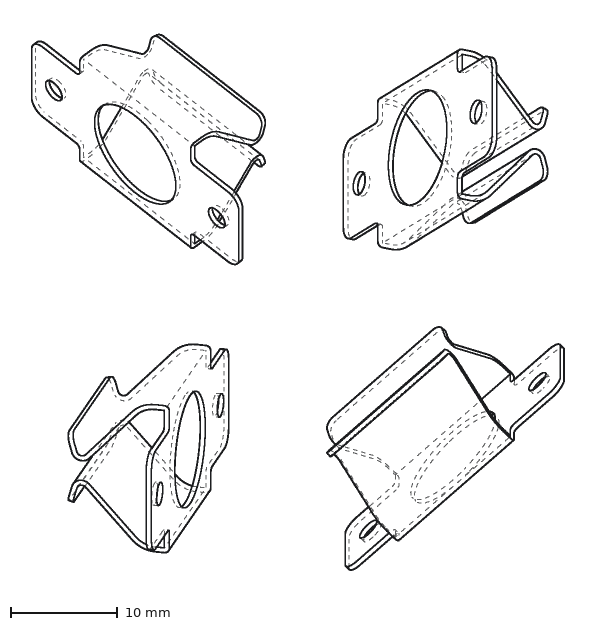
import cadquery as cq
import math

plate_length = 28.0
body_size = 15.0
wing_height = 10.0
sheet = 0.5
wing_corner_radius = 1.5
notch_radius = 0.5
window_diameter = 11.0
screw_hole_diameter = 2.2
screw_hole_spacing = 22.0

depth = 10.0
fold_radius = sheet
shoulder_y = 1.4
shoulder_radius = 3.02
throat_y = 8.5
throat_gap = 2.0
throat_radius = 1.0
lip_tilt = math.radians(16)
lip_corner_radius = 1.0

half_body = body_size / 2
shoulder_center = (shoulder_y, half_body - shoulder_radius)
throat_center = (throat_y, throat_gap / 2 + throat_radius)
throat_inner_radius = throat_radius - sheet
shoulder_inner_radius = shoulder_radius - sheet

center_run = throat_center[0] - shoulder_center[0]
center_drop = shoulder_center[1] - throat_center[1]
leaf_angle = math.atan2(center_drop, center_run) + math.asin(
    (shoulder_radius + throat_inner_radius) / math.hypot(center_run, center_drop)
)

up = math.pi / 2
shoulder_end = up - leaf_angle
throat_start = shoulder_end - math.pi
throat_end = -lip_tilt


def polar(center, radius, angle):
    return (center[0] + radius * math.cos(angle), center[1] + radius * math.sin(angle))


def arc(profile, center, radius, start, end):
    """Extend a profile along a bend, from direction start to direction end."""
    middle = polar(center, radius, (start + end) / 2)
    return profile.threePointArc(middle, polar(center, radius, end))


def make_plate():
    wings = (
        cq.Workplane("XZ")
        .rect(plate_length, wing_height)
        .extrude(-sheet)
        .edges("|Y")
        .fillet(wing_corner_radius)
    )
    body = cq.Workplane("XZ").rect(body_size, body_size - 2 * fold_radius).extrude(-sheet)
    plate = wings.union(body)
    notch_corners = cq.selectors.BoxSelector(
        (-half_body - sheet, -sheet, -wing_height / 2 - sheet / 2),
        (half_body + sheet, 2 * sheet, wing_height / 2 + sheet / 2),
    )
    return plate.edges("|Y").edges(notch_corners).fillet(notch_radius)


def make_arm():
    """Upper arm: fold, flat, shoulder bend, sloping leaf, throat bend and lip."""
    outer_lip_start = polar(throat_center, throat_radius, throat_end)
    lip_rise = (depth - outer_lip_start[0]) / math.tan(lip_tilt)
    outer_tip = (depth, outer_lip_start[1] + lip_rise)
    inner_tip = polar(outer_tip, sheet, throat_end + math.pi)
    fold_center = (fold_radius, half_body - fold_radius)

    profile = cq.Workplane("YZ").moveTo(*polar(fold_center, fold_radius, math.pi))
    profile = arc(profile, fold_center, fold_radius, math.pi, up)
    profile = profile.lineTo(shoulder_y, half_body)
    profile = arc(profile, shoulder_center, shoulder_radius, up, shoulder_end)
    profile = profile.lineTo(*polar(throat_center, throat_inner_radius, throat_start))
    profile = arc(profile, throat_center, throat_inner_radius, throat_start, throat_end)
    profile = profile.lineTo(*inner_tip).lineTo(*outer_tip).lineTo(*outer_lip_start)
    profile = arc(profile, throat_center, throat_radius, throat_end, throat_start)
    profile = profile.lineTo(*polar(shoulder_center, shoulder_inner_radius, shoulder_end))
    profile = arc(profile, shoulder_center, shoulder_inner_radius, shoulder_end, up)
    profile = profile.lineTo(*fold_center).close()
    arm = profile.extrude(half_body, both=True)

    tip_corners = cq.selectors.BoxSelector(
        (-body_size, inner_tip[0] - sheet, outer_tip[1] - sheet),
        (body_size, outer_tip[0] + sheet, inner_tip[1] + sheet),
    )
    return arm.edges("not |X").edges(tip_corners).fillet(lip_corner_radius)


def make_holes():
    window = cq.Workplane("XZ").circle(window_diameter / 2).extrude(-sheet)
    screw_holes = (
        cq.Workplane("XZ")
        .rarray(screw_hole_spacing, 0.28, 2, 1)
        .circle(screw_hole_diameter / 2)
        .extrude(-sheet)
    )
    return window.union(screw_holes)


upper_arm = make_arm()
lower_arm = upper_arm.mirror("XY")
result = make_plate().cut(make_holes()).union(upper_arm).union(lower_arm)